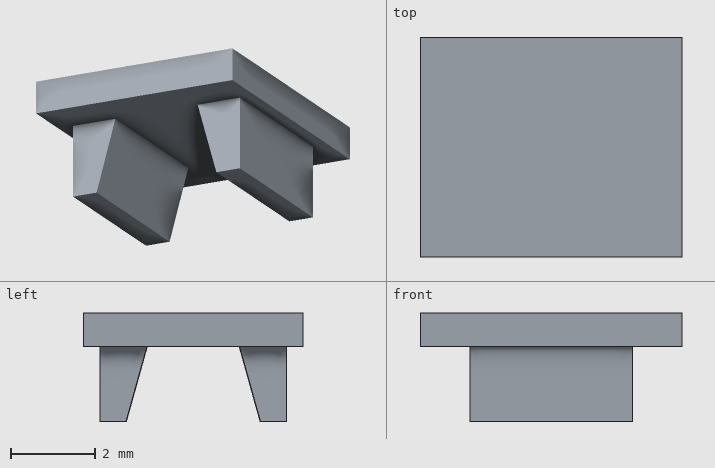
import cadquery as cq

plate_length = 6.2
plate_width = 5.2
plate_thickness = 0.8
total_height = 2.58

leg_length = 3.85
leg_outer_span = 4.425
leg_root_thickness = 1.12
leg_tip_thickness = 0.625
leg_height = total_height - plate_thickness


def make_leg(side):
    """Leg with an upright outer face and a sloping inner face; side is +1 or -1 along Y."""
    outer = leg_outer_span / 2
    profile = [
        (side * outer, leg_height),
        (side * outer, 0),
        (side * (outer - leg_tip_thickness), 0),
        (side * (outer - leg_root_thickness), leg_height),
    ]
    return cq.Workplane("YZ").polyline(profile).close().extrude(leg_length / 2, both=True)


result = (
    cq.Workplane("XY")
    .workplane(offset=leg_height)
    .rect(plate_length, plate_width)
    .extrude(plate_thickness)
)
for side in (-1, 1):
    result = result.union(make_leg(side))